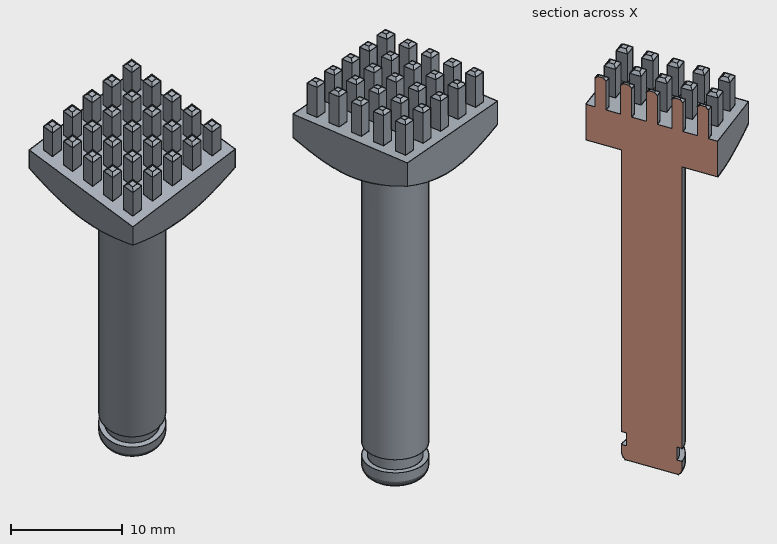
import cadquery as cq
import math

total_height = 42.0
head_side = 13.0
head_height = 4.05

shank_diameter = 6.0
groove_diameter = 5.0
groove_bottom = 1.65
groove_width = 1.4
taper_steps = [(0.38, 0), (0.15, 0.2), (0.05, 0.45), (0, 0.65)]

pins_per_row = 5
pin_pitch = 2.5
pin_side = 1.15
pin_height = 3.5
pin_chamfer = 0.3

cone_angle = 30.0

pin_bottom = total_height - pin_height
head_bottom = pin_bottom - head_height
cone_base_radius = head_side / 2
corner_radius = head_side / math.sqrt(2)
cone_rise = (corner_radius - cone_base_radius) * math.tan(math.radians(cone_angle))


def make_shank():
    """Round shank with a retaining groove and a lower end tapered in three steps."""
    profile = cq.Workplane("XZ").moveTo(0, 0)
    for inset, height in taper_steps:
        profile = profile.lineTo(shank_diameter / 2 - inset, height)
    shank = (
        profile.lineTo(shank_diameter / 2, head_bottom)
        .lineTo(0, head_bottom)
        .close()
        .revolve(360, (0, 0, 0), (0, 1, 0))
    )
    groove = (
        cq.Workplane("XY", origin=(0, 0, groove_bottom))
        .circle(shank_diameter / 2)
        .circle(groove_diameter / 2)
        .extrude(groove_width)
    )
    return shank.cut(groove)


def make_head():
    """Square head whose lower corners are trimmed by a cone touching the sides."""
    block = (
        cq.Workplane("XY", origin=(0, 0, head_bottom))
        .rect(head_side, head_side)
        .extrude(head_height)
    )
    envelope = (
        cq.Workplane("XZ")
        .moveTo(0, head_bottom)
        .lineTo(cone_base_radius, head_bottom)
        .lineTo(corner_radius, head_bottom + cone_rise)
        .lineTo(corner_radius, pin_bottom)
        .lineTo(0, pin_bottom)
        .close()
        .revolve(360, (0, 0, 0), (0, 1, 0))
    )
    return block.intersect(envelope)


def make_pins():
    """Square grid of square pins with chamfered tips."""
    return (
        cq.Workplane("XY", origin=(0, 0, pin_bottom))
        .rarray(pin_pitch, pin_pitch, pins_per_row, pins_per_row)
        .rect(pin_side, pin_side)
        .extrude(pin_height)
        .faces(">Z")
        .chamfer(pin_chamfer)
    )


result = make_shank().union(make_head()).union(make_pins())